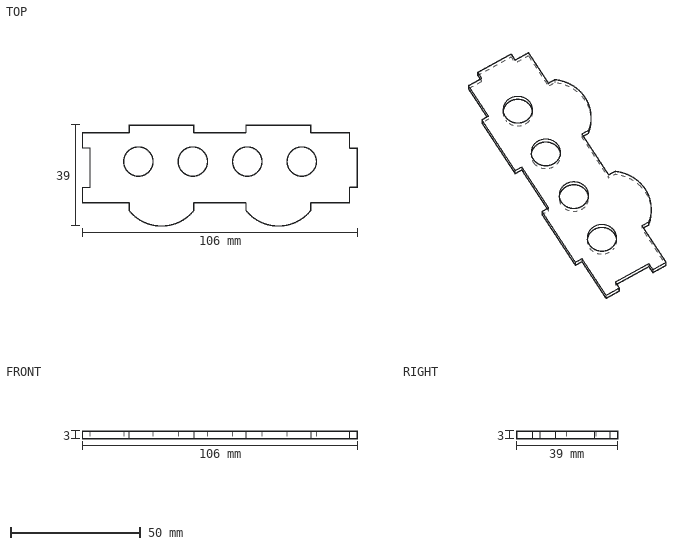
import cadquery as cq

overall_length = 106.0
thickness = 3.0
body_width = 27.0

joint_depth = thickness
joint_width = 15.0
body_length = overall_length - joint_depth

tab_start = 18.0
tab_width = 25.0
tab_pitch = 45.0
tab_count = 2
tab_height = thickness
lobe_depth = 9.0
lobe_side = 3.0

hole_diameter = 11.2
hole_count = 4
hole_pitch = 21.0
first_hole_x = 21.6
hole_y = 15.9


def end_joint(x):
    """Block with the joint's size, its left face at x, centred on the body width."""
    y = (body_width - joint_width) / 2
    return cq.Workplane("XY").box(joint_depth, joint_width, thickness, centered=False).translate((x, y, 0))


def tab_and_lobe(left):
    """Strip across the body ending in a square tab at the rear and an arc at the front."""
    right = left + tab_width
    rear = body_width + tab_height
    return (
        cq.Workplane("XY")
        .moveTo(left, rear)
        .lineTo(left, -lobe_side)
        .threePointArc((left + tab_width / 2, -lobe_depth), (right, -lobe_side))
        .lineTo(right, rear)
        .close()
        .extrude(thickness)
    )


plate = cq.Workplane("XY").box(body_length, body_width, thickness, centered=False)
plate = plate.cut(end_joint(0)).union(end_joint(body_length))

for index in range(tab_count):
    plate = plate.union(tab_and_lobe(tab_start + index * tab_pitch))

hole_centers = [(first_hole_x + index * hole_pitch, hole_y) for index in range(hole_count)]
holes = cq.Workplane("XY").pushPoints(hole_centers).circle(hole_diameter / 2).extrude(thickness)

result = plate.cut(holes)